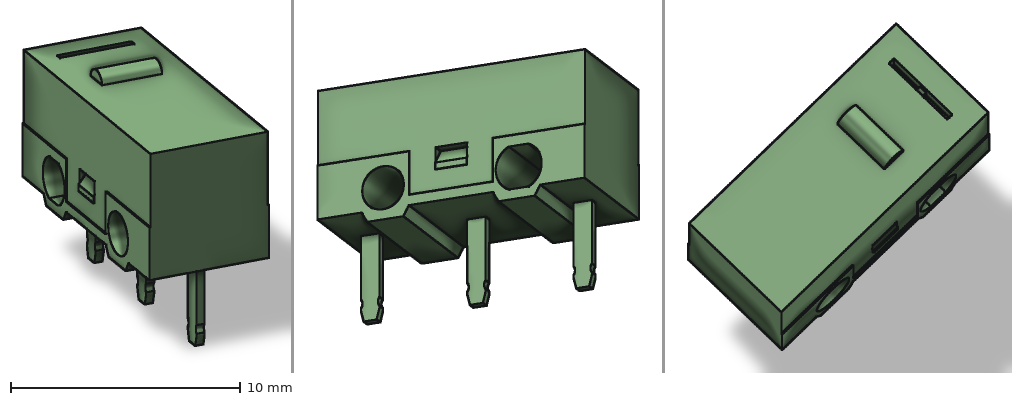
import cadquery as cq


LENGTH = 12.8
BASE_WIDTH = 5.8
COVER_WIDTH = 5.7
HEIGHT = 6.0
PARTING_HEIGHT = 2.52
STEP = (BASE_WIDTH - COVER_WIDTH) / 2

TAB_LENGTH = 4.0
TAB_BOTTOM = 0.5

WINDOW_LENGTH = 1.51
WINDOW_BOTTOM = 1.48
LATCH_EDGE_HEIGHT = 1.79
LATCH_RAMP_DEPTH = 0.6

FOOT_OFFSET = 3.15
FOOT_TOP_LENGTH = 2.28
FOOT_BOTTOM_LENGTH = 1.74
FOOT_HEIGHT = 0.47

HOLE_OFFSET = 3.25
HOLE_DIAMETER = 2.0
HOLE_HEIGHT = HOLE_DIAMETER / 2
WIDE_HOLE_DIAMETER = 2.2

PLUNGER_X = -1.96
PLUNGER_RADIUS = 0.6
PLUNGER_RISE = 0.5
PLUNGER_WIDTH = 2.9

TERMINAL_PITCH = 5.1
TERMINAL_WIDTH = 0.9
TERMINAL_THICKNESS = 0.4
TERMINAL_LENGTH = 4.0
TIP_WIDTH = 0.63
TIP_TAPER_LENGTH = 0.52
NOTCH_TOP = -2.96
NOTCH_BOTTOM = -3.37
NOTCH_DEPTH = 0.08

SLOT_X = -5.05
SLOT_LENGTH = 0.31
SLOT_WIDTH = 3.6
SLOT_DEPTH = 1.0
TERMINAL_END_RISE = SLOT_DEPTH / 2


def block(length, width, bottom, top, x=0.0, y=0.0):
    """Box centred on (x, y) that spans bottom to top in Z."""
    box = cq.Workplane("XY").box(length, width, top - bottom, centered=(True, True, False))
    return box.translate((x, y, bottom))


def extrude_across(profile, width):
    """Extrude an XZ profile along Y, centred on Y = 0."""
    return profile.extrude(width / 2, both=True)


def housing():
    base = block(LENGTH, BASE_WIDTH, 0, PARTING_HEIGHT)
    cover = block(LENGTH, COVER_WIDTH, PARTING_HEIGHT, HEIGHT)
    body = base.union(cover)
    for side in (-1, 1):
        tab_y = side * (COVER_WIDTH + STEP) / 2
        body = body.cut(block(TAB_LENGTH, STEP, TAB_BOTTOM, PARTING_HEIGHT, y=tab_y))
    return body


def latch_window():
    """Wedge-shaped pocket above the ramp of the -Y latch."""
    outer_y = -BASE_WIDTH / 2
    return (
        cq.Workplane("YZ")
        .moveTo(outer_y, LATCH_EDGE_HEIGHT)
        .lineTo(outer_y + LATCH_RAMP_DEPTH, PARTING_HEIGHT)
        .lineTo(outer_y, PARTING_HEIGHT)
        .close()
        .extrude(WINDOW_LENGTH / 2, both=True)
    )


def latch():
    """Part of the -Y latch that stands out from the tab, flush with the base."""
    latch_y = -(COVER_WIDTH + STEP) / 2
    return block(WINDOW_LENGTH, STEP, WINDOW_BOTTOM, PARTING_HEIGHT, y=latch_y)


def foot(x):
    profile = cq.Workplane("XZ").polyline([
        (x - FOOT_TOP_LENGTH / 2, 0),
        (x - FOOT_BOTTOM_LENGTH / 2, -FOOT_HEIGHT),
        (x + FOOT_BOTTOM_LENGTH / 2, -FOOT_HEIGHT),
        (x + FOOT_TOP_LENGTH / 2, 0),
    ]).close()
    return extrude_across(profile, BASE_WIDTH)


def cylinder_across(x, z, radius, width):
    return extrude_across(cq.Workplane("XZ").center(x, z).circle(radius), width)


def round_hole():
    return cylinder_across(HOLE_OFFSET, HOLE_HEIGHT, HOLE_DIAMETER / 2, BASE_WIDTH)


def wide_hole():
    cylinder = cylinder_across(-HOLE_OFFSET, HOLE_HEIGHT, WIDE_HOLE_DIAMETER / 2, BASE_WIDTH)
    return cylinder.intersect(block(LENGTH, BASE_WIDTH, 0, HOLE_DIAMETER))


def plunger():
    axis_height = HEIGHT + PLUNGER_RISE - PLUNGER_RADIUS
    return cylinder_across(PLUNGER_X, axis_height, PLUNGER_RADIUS, PLUNGER_WIDTH)


def terminal(x):
    """Flat pin with a shallow round notch in each edge and a tapered tip."""
    half = TERMINAL_WIDTH / 2
    half_tip = TIP_WIDTH / 2
    half_neck = half - NOTCH_DEPTH
    notch_middle = (NOTCH_TOP + NOTCH_BOTTOM) / 2
    taper_top = -TERMINAL_LENGTH + TIP_TAPER_LENGTH
    profile = (
        cq.Workplane("XZ")
        .center(x, 0)
        .moveTo(-half, 0)
        .lineTo(-half, NOTCH_TOP)
        .threePointArc((-half_neck, notch_middle), (-half, NOTCH_BOTTOM))
        .lineTo(-half, taper_top)
        .lineTo(-half_tip, -TERMINAL_LENGTH)
        .lineTo(half_tip, -TERMINAL_LENGTH)
        .lineTo(half, taper_top)
        .lineTo(half, NOTCH_BOTTOM)
        .threePointArc((half_neck, notch_middle), (half, NOTCH_TOP))
        .lineTo(half, 0)
        .close()
    )
    return extrude_across(profile, TERMINAL_THICKNESS)


def cover_slot():
    floor = HEIGHT - SLOT_DEPTH
    slot = block(SLOT_LENGTH, SLOT_WIDTH, floor, HEIGHT, x=SLOT_X)
    terminal_end = block(SLOT_LENGTH, TERMINAL_THICKNESS, floor, floor + TERMINAL_END_RISE, x=SLOT_X)
    return slot.cut(terminal_end)


result = housing()
result = result.union(latch()).union(latch().mirror("XZ"))
result = result.cut(latch_window()).cut(latch_window().mirror("XZ"))
for foot_x in (-FOOT_OFFSET, FOOT_OFFSET):
    result = result.union(foot(foot_x))
result = result.cut(round_hole()).cut(wide_hole())
result = result.union(plunger())
for terminal_x in (-TERMINAL_PITCH, 0, TERMINAL_PITCH):
    result = result.union(terminal(terminal_x))
result = result.cut(cover_slot())